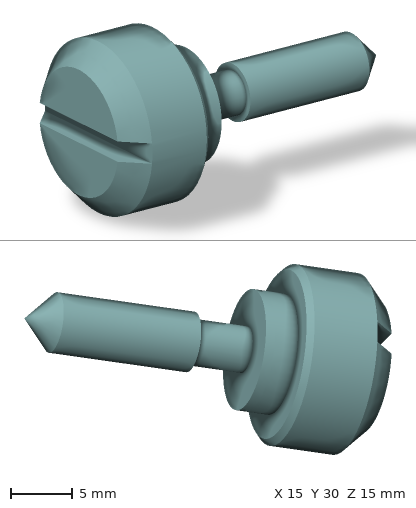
import cadquery as cq

total_length = 30.0
head_diameter = 15.0

head_length = 8.0
front_chamfer = 2.0
rear_chamfer = 0.5
slot_width = 1.77
slot_depth = front_chamfer

collar_diameter = head_diameter * 2 / 3
collar_end = 10.0
washer_thickness = 0.8

neck_diameter = 3.85
shank_diameter = head_diameter / 3
shank_start = 15.5
point_length = shank_diameter / 2


def cylinder(diameter, start, end):
    """Solid cylinder on the Y axis between two Y positions."""
    axis_plane = cq.Workplane(cq.Plane((0, start, 0), (1, 0, 0), (0, 1, 0)))
    return axis_plane.circle(diameter / 2).extrude(end - start)


def make_head():
    """Chamfered head with a screwdriver slot across its front face along X."""
    head = cylinder(head_diameter, 0, head_length)
    head = head.faces("<Y").chamfer(front_chamfer)
    head = head.faces(">Y").chamfer(rear_chamfer)
    slot = cq.Workplane("XY").box(
        head_diameter, slot_depth, slot_width, centered=(True, False, True)
    )
    return head.cut(slot)


def make_shank():
    """Shank ending in a sharp cone."""
    shank = cylinder(shank_diameter, shank_start, total_length - point_length)
    point = cq.Solid.makeCone(
        shank_diameter / 2,
        0,
        point_length,
        pnt=cq.Vector(0, total_length - point_length, 0),
        dir=cq.Vector(0, 1, 0),
    )
    return shank.union(cq.Workplane(point))


def make_screw():
    """Head, collar, neck and shank as one solid."""
    collar = cylinder(collar_diameter, head_length, collar_end)
    neck = cylinder(neck_diameter, collar_end, shank_start)
    return make_head().union(collar).union(neck).union(make_shank())


def make_washer():
    """Retaining washer around the neck, flush with the collar."""
    washer_end = collar_end + washer_thickness
    disc = cylinder(collar_diameter, collar_end, washer_end)
    bore = cylinder(neck_diameter, collar_end, washer_end)
    return disc.cut(bore)


screw = make_screw()
washer = make_washer()
result = cq.Compound.makeCompound([screw.val(), washer.val()])